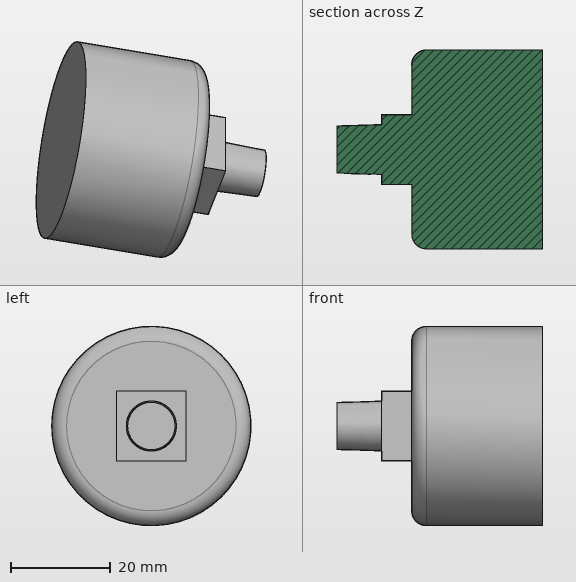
import cadquery as cq

case_diameter = 40.0
case_length = 26.3
case_edge_radius = 3.0

block_width = 14.0
block_length = 6.0

stub_length = 9.0
stub_tip_diameter = 9.5
stub_taper = 1 / 16
stub_base_diameter = stub_tip_diameter + stub_taper * stub_length


def make_case():
    """Cylinder with its front rim rounded."""
    case = cq.Workplane("YZ").circle(case_diameter / 2).extrude(case_length)
    return case.faces("<X").edges().fillet(case_edge_radius)


def make_block():
    """Square block reaching forward from the case."""
    return cq.Workplane("YZ").rect(block_width, block_width).extrude(-block_length)


def make_stub():
    """Cone frustum narrowing away from the block."""
    base_x = -block_length
    tip_x = base_x - stub_length
    profile = (
        cq.Workplane("XY")
        .moveTo(base_x, 0)
        .lineTo(base_x, stub_base_diameter / 2)
        .lineTo(tip_x, stub_tip_diameter / 2)
        .lineTo(tip_x, 0)
        .close()
    )
    return profile.revolve(360, (0, 0, 0), (1, 0, 0))


result = make_case().union(make_block()).union(make_stub())